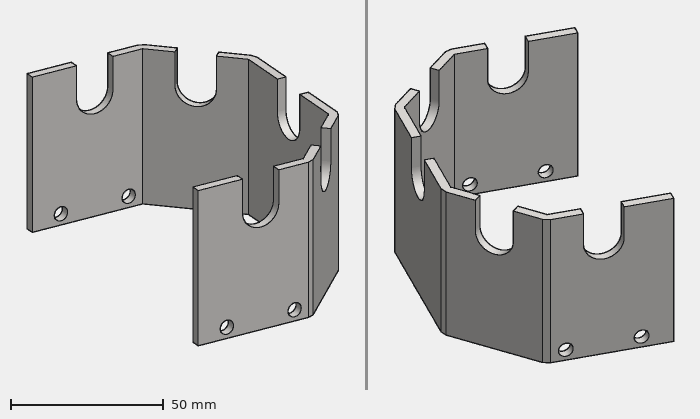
import cadquery as cq
import math

width = 107.0
depth = 70.8
height = 56.0
thickness = 3.3

back_inner_width = 50.1
inner_half_width = width / 2 - thickness
back_half_width = back_inner_width / 2
bend_run = inner_half_width - back_half_width
back_inner_y = depth - thickness
side_end_y = back_inner_y - bend_run

slot_width = 13.9
slot_depth = 18.9
side_slot_y = 24.0

hole_diameter = 5.0
hole_positions_y = (11.0, 37.0)
hole_z = 4.1


def folded_strip():
    """Constant-thickness strip: sharp inner corners, a flat facet across each outer corner."""
    diagonal = thickness * math.sqrt(0.5)
    right_half = (
        cq.Workplane("XY")
        .moveTo(0, back_inner_y)
        .lineTo(back_half_width, back_inner_y)
        .lineTo(inner_half_width, side_end_y)
        .lineTo(inner_half_width, 0)
        .lineTo(width / 2, 0)
        .lineTo(width / 2, side_end_y)
        .lineTo(inner_half_width + diagonal, side_end_y + diagonal)
        .lineTo(back_half_width + diagonal, back_inner_y + diagonal)
        .lineTo(back_half_width, depth)
        .lineTo(0, depth)
        .close()
        .extrude(height)
    )
    return right_half.union(right_half.mirror("YZ"))


def slot_cutter(x, y, angle):
    """Round-bottomed slot through the panel whose inner face passes (x, y), outward normal at angle."""
    radius = slot_width / 2
    normal = (math.cos(math.radians(angle)), math.sin(math.radians(angle)), 0)
    across = (-normal[1], normal[0], 0)
    start = (x - normal[0] * thickness, y - normal[1] * thickness, height - slot_depth + radius)
    return (
        cq.Workplane(cq.Plane(origin=start, xDir=across, normal=normal))
        .moveTo(-radius, slot_depth)
        .lineTo(-radius, 0)
        .threePointArc((0, -radius), (radius, 0))
        .lineTo(radius, slot_depth)
        .close()
        .extrude(3 * thickness)
    )


def mounting_hole_cutter(y):
    """Pin along X long enough to pierce both side panels."""
    return (
        cq.Workplane("YZ")
        .center(y, hole_z)
        .circle(hole_diameter / 2)
        .extrude(width, both=True)
    )


diagonal_mid_x = (back_half_width + inner_half_width) / 2
diagonal_mid_y = (back_inner_y + side_end_y) / 2
slot_places = (
    (inner_half_width, side_slot_y, 0),
    (diagonal_mid_x, diagonal_mid_y, 45),
    (0, back_inner_y, 90),
    (-diagonal_mid_x, diagonal_mid_y, 135),
    (-inner_half_width, side_slot_y, 180),
)

result = folded_strip()
for slot_x, slot_y, slot_angle in slot_places:
    result = result.cut(slot_cutter(slot_x, slot_y, slot_angle))
for hole_y in hole_positions_y:
    result = result.cut(mounting_hole_cutter(hole_y))